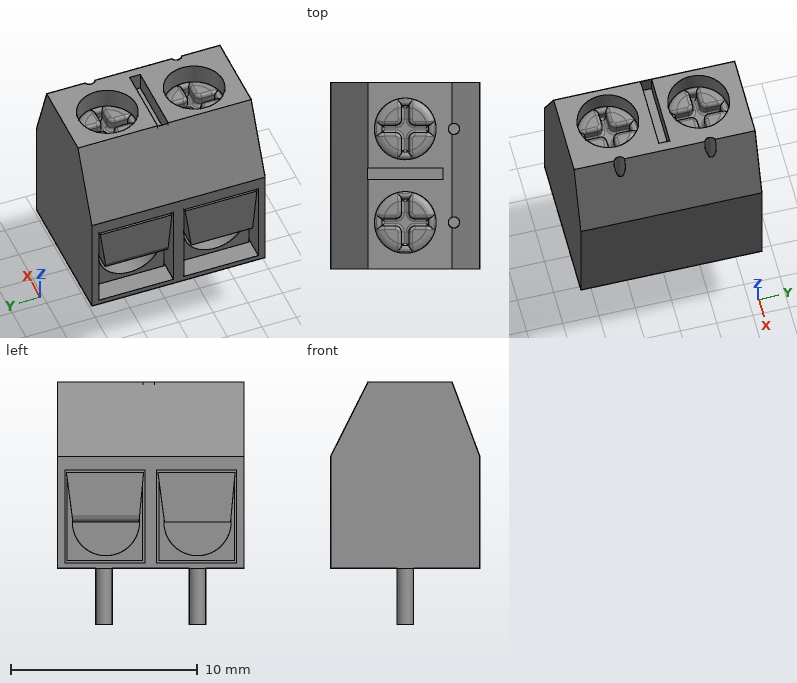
import cadquery as cq


overall_height = 13.0

width = 8.0
length = 10.0
height = 10.0
shoulder_height = 6.0
top_start = 2.0
top_end = 6.5

pin_pitch = 5.0
pole_x = width / 2
pole_ys = (-pin_pitch / 2, pin_pitch / 2)

pin_diameter = 0.9
pin_length = overall_height - height

entry_pitch = 4.9
entry_ys = (-entry_pitch / 2, entry_pitch / 2)
window_width = 4.3
window_bottom = 0.3
window_top = 5.28
window_depth = 2.0
cage_gap = 0.13
cage_front = 1.03
wire_hole_diameter = 3.6
wire_hole_z = 2.48
wire_hole_offset = -0.05
wire_hole_end = 5.2

clamp_top_width = 4.13
clamp_bottom_width = 3.54
clamp_edge_radius = 0.32

screw_diameter = 3.3
screw_well_depth = 2.0
screw_top_depth = 0.99
screw_flat_radius = 1.18
screw_dome_radius = 0.68
cross_width = 0.39
cross_length = 2.5
cross_depth = 0.7
cross_corner_radius = 0.32
cross_floor_radius = 0.14
cross_rim_radius = 0.2

groove_start = 1.99
groove_end = 6.0
groove_width = 0.61
groove_y = 0.1
groove_depth = 1.0

probe_diameter = 0.6
probe_x = 6.6
probe_depth = 2.0


def box(x0, x1, y_mid, y_size, z0, z1):
    """Block from x0 to x1 and z0 to z1, centred on y_mid."""
    block = cq.Workplane("XY").box(x1 - x0, y_size, z1 - z0, centered=(False, True, False))
    return block.translate((x0, y_mid, z0))


def cylinder(x, y, diameter, depth):
    """Vertical cylinder reaching down from the housing top."""
    return cq.Workplane("XY", origin=(x, y, height)).circle(diameter / 2).extrude(-depth)


def make_housing():
    outline = [
        (0, 0),
        (width, 0),
        (width, shoulder_height),
        (top_end, height),
        (top_start, height),
        (0, shoulder_height),
    ]
    return cq.Workplane("XZ").polyline(outline).close().extrude(length / 2, both=True)


def make_entry(y):
    """Window opening with the wire hole running on behind it."""
    window = box(0, window_depth, y, window_width, window_bottom, window_top)
    return window.union(wire_hole(y))


def wire_hole(y):
    """Horizontal bore from the wire side, behind the window at y."""
    return (
        cq.Workplane("YZ")
        .center(y + wire_hole_offset, wire_hole_z)
        .circle(wire_hole_diameter / 2)
        .extrude(wire_hole_end)
    )


def make_cage(y):
    """Clamping cage set back inside the window, bored by the wire hole."""
    cage = box(
        cage_front, window_depth, y, window_width - 2 * cage_gap,
        window_bottom + cage_gap, window_top - cage_gap,
    )
    return cage.cut(wire_hole(y))


def make_clamp(y):
    """Plate that tapers down to the wire hole and closes the upper half of it."""
    top_z = window_top - cage_gap
    hole_y = y + wire_hole_offset
    outline = [
        (hole_y - clamp_bottom_width / 2, wire_hole_z),
        (hole_y + clamp_bottom_width / 2, wire_hole_z),
        (y + clamp_top_width / 2, top_z),
        (y - clamp_top_width / 2, top_z),
    ]
    return cq.Workplane("YZ").polyline(outline).close().extrude(wire_hole_end)


def make_cross():
    """Cross-shaped driver recess, its floor at z = 0; taller than the recess so it cuts clear."""
    cross_height = 2 * cross_depth
    arm = cq.Workplane("XY").rect(cross_length, cross_width).extrude(cross_height)
    cross = arm.union(arm.rotate((0, 0, 0), (0, 0, 1), 90))
    near_centre = cq.selectors.BoxSelector(
        (-cross_width, -cross_width, 0), (cross_width, cross_width, cross_height)
    )
    cross = cross.edges("|Z").edges(near_centre).fillet(cross_corner_radius)
    return cross.faces("<Z").edges().fillet(cross_floor_radius)


def make_screw():
    """Domed screw head with a rounded cross recess, its flat top at z = 0."""
    radius = screw_diameter / 2
    run = radius - screw_flat_radius
    rim_z = (screw_dome_radius**2 - run**2) ** 0.5 - screw_dome_radius
    bottom_z = screw_top_depth - screw_well_depth
    head = (
        cq.Workplane("XZ")
        .moveTo(0, bottom_z)
        .lineTo(0, 0)
        .lineTo(screw_flat_radius, 0)
        .tangentArcPoint((radius, rim_z), relative=False)
        .lineTo(radius, bottom_z)
        .close()
        .revolve(360, (0, 0, 0), (0, 1, 0))
    )
    head = head.rotate((0, 0, 0), (0, 0, 1), 45)
    head = head.cut(make_cross().translate((0, 0, -cross_depth)))

    long_reach = radius
    short_reach = cross_width
    level = cross_depth / 10
    rim_along_x = cq.selectors.BoxSelector(
        (-long_reach, -short_reach, -level), (long_reach, short_reach, level)
    )
    rim_along_y = cq.selectors.BoxSelector(
        (-short_reach, -long_reach, -level), (short_reach, long_reach, level)
    )
    return head.edges(rim_along_x + rim_along_y).fillet(cross_rim_radius)


result = make_housing()

for y in entry_ys:
    clamp = make_clamp(y)
    if y > 0:
        clamp = clamp.faces("<X").edges("<Z").fillet(clamp_edge_radius)
    result = result.cut(make_entry(y)).union(make_cage(y)).union(clamp)

groove = box(groove_start, groove_end, groove_y, groove_width, height - groove_depth, height)
result = result.cut(groove)

screw = make_screw()
for y in pole_ys:
    well = cylinder(pole_x, y, screw_diameter, screw_well_depth)
    probe_hole = cylinder(probe_x, y, probe_diameter, probe_depth)
    pin = cq.Workplane("XY").center(pole_x, y).circle(pin_diameter / 2).extrude(-pin_length)
    result = result.cut(well).cut(probe_hole)
    result = result.union(pin).union(screw.translate((pole_x, y, height - screw_top_depth)))